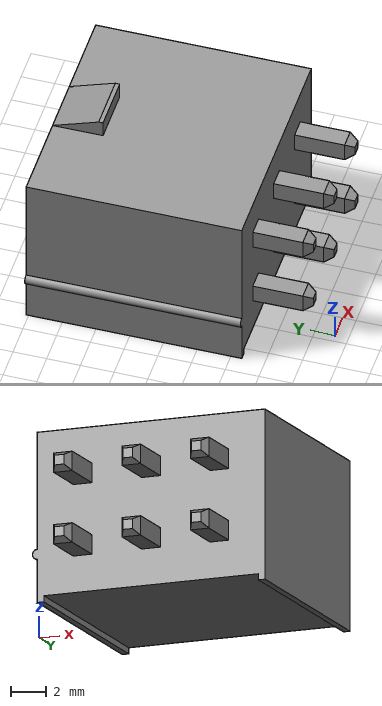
import cadquery as cq


overall_length = 16.3

width = 14.0
depth = 12.8
height = 10.01
lip_width = 0.4
lip_height = 0.36

ridge_radius = 0.3
ridge_z = 2.84

latch_width = 3.35
latch_length = 3.0
latch_height = 1.0
latch_flat = 0.26

pin_columns = 3
pin_rows = 2
pin_pitch = 4.2
pin_size = 1.14
pin_tip_size = 0.57
pin_tip_length = 0.54
pin_length = overall_length - depth
pin_grid_z = (lip_height + height) / 2


def make_shell():
    """Block with a shallow channel along its bottom, leaving a lip at each side."""
    block = cq.Workplane("XY").box(width, depth, height, centered=(True, False, False))
    channel = cq.Workplane("XY").box(
        width - 2 * lip_width, depth, lip_height, centered=(True, False, False)
    )
    return block.cut(channel)


def make_ridge():
    """Rod centred on the -X wall, so that half of it stands proud."""
    return (
        cq.Workplane("XZ")
        .center(-width / 2, ridge_z)
        .circle(ridge_radius)
        .extrude(-depth)
    )


def make_latch():
    """Wedge rising from the back edge of the top face to a narrow flat crest."""
    front_y = depth - latch_length
    crest_z = height + latch_height
    return (
        cq.Workplane("YZ")
        .moveTo(depth, height)
        .lineTo(front_y, height)
        .lineTo(front_y, crest_z)
        .lineTo(front_y + latch_flat, crest_z)
        .close()
        .extrude(latch_width / 2, both=True)
    )


def make_housing():
    return make_shell().union(make_ridge()).union(make_latch())


def make_pin(x, z):
    """Square pin standing on the pin face, pointing to -Y, with a tapered tip."""
    shank_length = pin_length - pin_tip_length
    shank = (
        cq.Workplane("XZ")
        .center(x, z)
        .rect(pin_size, pin_size)
        .extrude(shank_length)
    )
    tip = (
        cq.Workplane("XZ", origin=(0, -shank_length, 0))
        .center(x, z)
        .rect(pin_size, pin_size)
        .workplane(offset=pin_tip_length)
        .rect(pin_tip_size, pin_tip_size)
        .loft()
    )
    return shank.union(tip)


housing = make_housing()

pins = []
for column in range(pin_columns):
    for row in range(pin_rows):
        pin_x = (column - (pin_columns - 1) / 2) * pin_pitch
        pin_z = pin_grid_z + (row - (pin_rows - 1) / 2) * pin_pitch
        pins.append(make_pin(pin_x, pin_z).val())

result = cq.Compound.makeCompound([housing.val(), *pins])